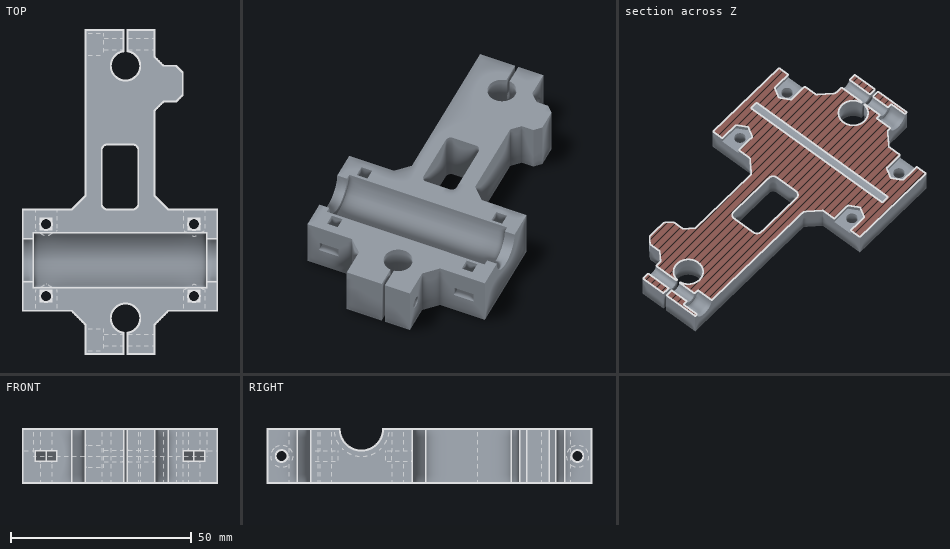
import cadquery as cq
import math

height = 15.0
mid_height = height / 2
arm_width = 19.3
arm_back = 63.9
arm_front = -26.1
arm_half = arm_width / 2

block_length = 54.0
block_width = 28.2
corner_web = 3.8
bearing_diameter = 15.2
bearing_length = 48.1
shaft_diameter = 12.0

tab_tip = 17.5
tab_width = 10.0
tab_center = 49.0
tab_chamfer = 1.9
tab_web = 2.4

window_width = 10.1
window_length = 18.0
window_radius = 1.5

rod_diameter = 8.1
rod_x = 1.5
rod_inset = 10.0
clamp_gap = 1.0
clamp_screw_diameter = 3.2
clamp_head_diameter = 6.1
clamp_head_depth = 5.0
clamp_screw_inset = 4.0

cap_screw_x = 20.5
cap_screw_y = 10.0
cap_screw_diameter = 3.2
cap_square = cap_screw_diameter
nut_width = 5.9
nut_height = 3.0


def prism(points):
    """Full-height solid over a closed outline."""
    return cq.Workplane("XY").polyline(points).close().extrude(height)


def make_body():
    """Block, long arm, the webs in their corners and the side tab."""
    block = cq.Workplane("XY").box(block_length, block_width, height, centered=(True, True, False))
    arm = prism([
        (-arm_half, arm_front),
        (arm_half, arm_front),
        (arm_half, arm_back),
        (-arm_half, arm_back),
    ])
    web_x = arm_half + corner_web
    block_half = block_width / 2
    web_y = block_half + corner_web
    webs = prism([
        (arm_half, -web_y),
        (web_x, -block_half),
        (web_x, block_half),
        (arm_half, web_y),
        (-arm_half, web_y),
        (-web_x, block_half),
        (-web_x, -block_half),
        (-arm_half, -web_y),
    ])
    tab_low = tab_center - tab_width / 2
    tab_high = tab_center + tab_width / 2
    tab = prism([
        (arm_half, tab_low - tab_web),
        (arm_half + tab_web, tab_low),
        (tab_tip - tab_chamfer, tab_low),
        (tab_tip, tab_low + tab_chamfer),
        (tab_tip, tab_high - tab_chamfer),
        (tab_tip - tab_chamfer, tab_high),
        (arm_half + tab_web, tab_high),
        (arm_half, tab_high + tab_web),
        (0, tab_high + tab_web),
        (0, tab_low - tab_web),
    ])
    return block.union(arm).union(webs).union(tab)


def x_cylinder(diameter, length, start_x, y, z):
    """Cylinder running along +X from start_x."""
    plane = cq.Plane(origin=(start_x, y, z), xDir=(0, 1, 0), normal=(1, 0, 0))
    return cq.Workplane(plane).circle(diameter / 2).extrude(length)


def bearing_seat():
    """Half-round bearing trough with a narrower shaft opening at each end."""
    trough = x_cylinder(bearing_diameter, bearing_length, -bearing_length / 2, 0, height)
    shaft = x_cylinder(shaft_diameter, block_length, -block_length / 2, 0, height)
    return trough.union(shaft)


def arm_window():
    """Rounded window starting level with the back of the block."""
    return (
        cq.Workplane("XY")
        .center(0, (block_width + window_length) / 2)
        .rect(window_width, window_length)
        .extrude(height)
        .edges("|Z")
        .fillet(window_radius)
    )


def rod_clamp(end_y, outward):
    """Rod hole, slit to the arm end and counterbored cross screw; outward is +1 or -1 in Y."""
    rod_y = end_y - outward * rod_inset
    screw_y = end_y - outward * clamp_screw_inset
    rod = cq.Workplane("XY").center(rod_x, rod_y).circle(rod_diameter / 2).extrude(height)
    slit = (
        cq.Workplane("XY")
        .center(rod_x, (rod_y + end_y) / 2)
        .rect(clamp_gap, rod_inset)
        .extrude(height)
    )
    screw = x_cylinder(clamp_screw_diameter, arm_width, -arm_half, screw_y, mid_height)
    head = x_cylinder(clamp_head_diameter, clamp_head_depth, -arm_half, screw_y, mid_height)
    return rod.union(slit).union(screw).union(head)


def cap_screw(x, side):
    """Round hole below the nut, square hole above it and a nut slot open to the block side."""
    y = side * cap_screw_y
    hole = cq.Workplane("XY").center(x, y).circle(cap_screw_diameter / 2).extrude(mid_height)
    square = (
        cq.Workplane("XY", origin=(x, y, mid_height))
        .rect(cap_square, cap_square)
        .extrude(height - mid_height)
    )
    nut_half = nut_width / 2
    nut_tip = y - side * nut_width / math.sqrt(3)
    nut_shoulder = y - side * nut_half / math.sqrt(3)
    opening = side * block_width / 2
    slot = (
        cq.Workplane("XY", origin=(0, 0, mid_height - nut_height / 2))
        .polyline([
            (x - nut_half, opening),
            (x - nut_half, nut_shoulder),
            (x, nut_tip),
            (x + nut_half, nut_shoulder),
            (x + nut_half, opening),
        ])
        .close()
        .extrude(nut_height)
    )
    return hole.union(square).union(slot)


result = make_body().cut(bearing_seat()).cut(arm_window())
result = result.cut(rod_clamp(arm_back, 1)).cut(rod_clamp(arm_front, -1))
for screw_x in (-cap_screw_x, cap_screw_x):
    for screw_side in (-1, 1):
        result = result.cut(cap_screw(screw_x, screw_side))